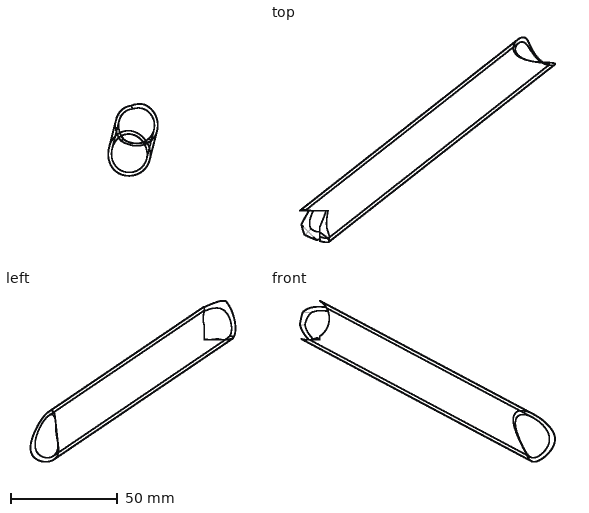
import cadquery as cq

outer_diameter = 20.0
outer_radius = outer_diameter / 2
wall = 1.5
strut_axis = cq.Vector(0.7258, 0.5698, -0.3854).normalized()
node = cq.Vector(-56.0, -42.7, 29.4)

crossed_radius = outer_radius
x_tube_overrun = 5.6
y_tube_overrun = 9.6

saddle_distance = 157.9
saddle_radius = 12.3
saddle_axis = cq.Vector(-0.442, 0.099, 0.891).normalized()
cutter_length = 119.5


def rod(start, axis, radius):
    """Solid cutting cylinder that runs from start along axis."""
    return cq.Workplane(cq.Plane(start, normal=axis)).circle(radius).extrude(cutter_length)


square_end = cq.Plane(node, normal=strut_axis)
blank = cq.Workplane(square_end).circle(outer_radius).circle(outer_radius - wall).extrude(saddle_distance)

strut = blank
for direction, overrun in (
    (cq.Vector(-1, 0, 0), x_tube_overrun),
    (cq.Vector(0, -1, 0), y_tube_overrun),
):
    strut = strut.cut(rod(node - direction * overrun, direction, crossed_radius))

saddle_center = node + strut_axis * saddle_distance
saddle_start = saddle_center - saddle_axis * (cutter_length / 2)
result = strut.cut(rod(saddle_start, saddle_axis, saddle_radius))